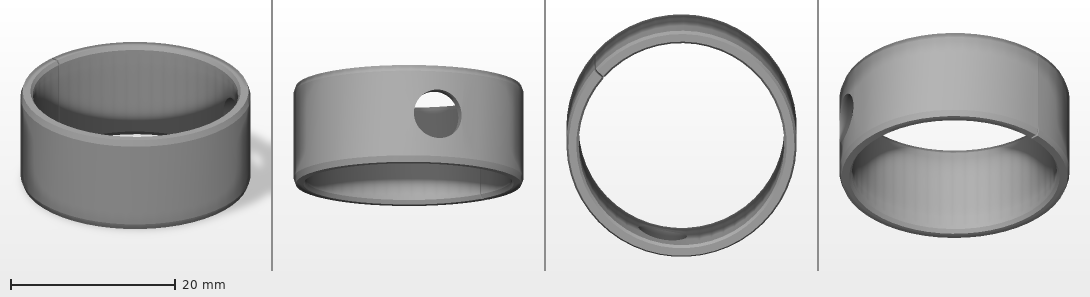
import cadquery as cq
import math

outer_diameter = 28.0
wall = 1.5
width = 12.0
outer_radius = outer_diameter / 2
inner_radius = outer_radius - wall

outer_chamfer_length = 0.75
outer_chamfer_angle = 20.0
inner_chamfer_length = 0.5
inner_chamfer_angle = 30.0

slit_angle = 1.0

oil_hole_diameter = 6.0
oil_hole_angle = 59.0


def chamfer_depth(length, angle):
    """Radial depth of a chamfer from its axial length and its angle to the axis."""
    return length * math.tan(math.radians(angle))


def make_ring():
    """Revolve the chamfered wall section about Z, stopping short of a full turn to leave the slit."""
    top = width / 2
    outer_rim = outer_radius - chamfer_depth(outer_chamfer_length, outer_chamfer_angle)
    inner_rim = inner_radius + chamfer_depth(inner_chamfer_length, inner_chamfer_angle)
    section = [
        (inner_radius, inner_chamfer_length - top),
        (inner_rim, -top),
        (outer_rim, -top),
        (outer_radius, outer_chamfer_length - top),
        (outer_radius, top - outer_chamfer_length),
        (outer_rim, top),
        (inner_rim, top),
        (inner_radius, top - inner_chamfer_length),
    ]
    axis_start = (0, 0)
    axis_end = (0, 1)
    ring = cq.Workplane("XZ").polyline(section).close().revolve(360 - slit_angle, axis_start, axis_end)
    return ring.rotate((0, 0, 0), (0, 0, 1), 180)


def make_oil_hole():
    """Radial cylinder running outwards from the axis through one wall."""
    cutter = cq.Workplane("YZ").circle(oil_hole_diameter / 2).extrude(outer_diameter)
    return cutter.rotate((0, 0, 0), (0, 0, 1), oil_hole_angle)


result = make_ring().cut(make_oil_hole())